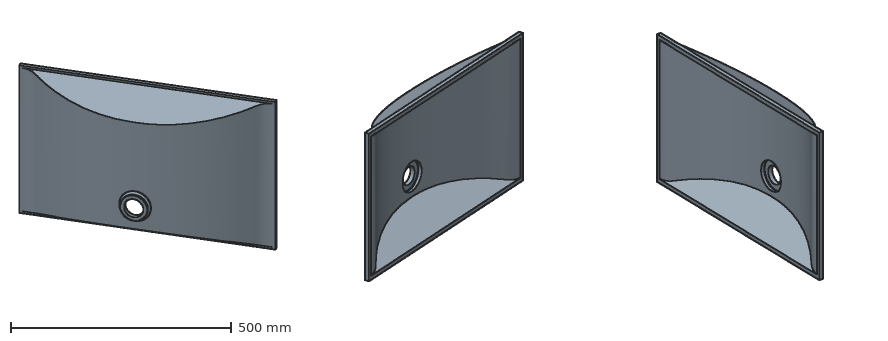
import cadquery as cq
import math

LENGTH = 610.0
HEIGHT = 377.5
TOTAL_DEPTH = 115.0
RIM_THICKNESS = 11.0
WALL = 10.0
BOWL_DEPTH = 105.0
SIDE_MARGIN = 9.0
RIM_LEDGE = 5.5
WALL_TAPER = 0.5
FLAT_WIDTH = 10.0
BOWL_RADIUS = 443.0

DRAIN_Z = -78.0
DRAIN_BORE = 46.0
DRAIN_FLANGE_DIAMETER = 75.5
DRAIN_FACE_DIAMETER = 64.5
DRAIN_INSERTION = 2.0
DRAIN_TUBE_DEPTH = 5.5

BACK_Y = TOTAL_DEPTH / 2
FRONT_Y = -TOTAL_DEPTH / 2
BOWL_FRONT_Y = BACK_Y - BOWL_DEPTH
RIM_FRONT_Y = BACK_Y - RIM_THICKNESS

END_X = LENGTH / 2 - SIDE_MARGIN
FLAT_HALF = FLAT_WIDTH / 2
BOWL_CENTER_Y = BOWL_FRONT_Y + BOWL_RADIUS
CENTER_RUN = END_X - FLAT_HALF
CENTER_DROP = BOWL_CENTER_Y - RIM_FRONT_Y
BLEND_RADIUS = (CENTER_RUN**2 + CENTER_DROP**2 - BOWL_RADIUS**2) / (2 * (BOWL_RADIUS - CENTER_DROP))
BLEND_CENTER_Y = RIM_FRONT_Y - BLEND_RADIUS
ARC_ANGLE = math.atan2(CENTER_RUN, BOWL_CENTER_Y - BLEND_CENTER_Y)


def bowl_arc_point(radius, angle):
    return (FLAT_HALF + radius * math.sin(angle), BOWL_CENTER_Y - radius * math.cos(angle))


def blend_arc_point(radius, angle):
    return (END_X - radius * math.sin(angle), BLEND_CENTER_Y + radius * math.cos(angle))


def mirrored(point):
    return (-point[0], point[1])


def bowl_volume(inset):
    """Bowl body bounded by its outer faces moved inward by inset, open to the back plane."""
    bowl_radius = BOWL_RADIUS - inset
    blend_radius = BLEND_RADIUS + inset
    flat_end = bowl_arc_point(bowl_radius, 0)
    bowl_mid = bowl_arc_point(bowl_radius, ARC_ANGLE / 2)
    junction = bowl_arc_point(bowl_radius, ARC_ANGLE)
    blend_mid = blend_arc_point(blend_radius, ARC_ANGLE / 2)
    end = blend_arc_point(blend_radius, 0)
    curved = (
        cq.Workplane("XY")
        .moveTo(-END_X, BACK_Y)
        .lineTo(*mirrored(end))
        .threePointArc(mirrored(blend_mid), mirrored(junction))
        .threePointArc(mirrored(bowl_mid), mirrored(flat_end))
        .lineTo(*flat_end)
        .threePointArc(bowl_mid, junction)
        .threePointArc(blend_mid, end)
        .lineTo(END_X, BACK_Y)
        .close()
        .extrude(HEIGHT / 2, both=True)
    )
    wall_inset = inset * math.hypot(1, WALL_TAPER)
    half_at_rim = HEIGHT / 2 - RIM_LEDGE - wall_inset
    half_at_back = half_at_rim + WALL_TAPER * RIM_THICKNESS
    half_at_front = half_at_rim - WALL_TAPER * (BOWL_DEPTH - RIM_THICKNESS)
    tapered = (
        cq.Workplane("YZ")
        .polyline([
            (BACK_Y, -half_at_back),
            (BACK_Y, half_at_back),
            (BOWL_FRONT_Y, half_at_front),
            (BOWL_FRONT_Y, -half_at_front),
        ])
        .close()
        .extrude(LENGTH / 2, both=True)
    )
    return curved.intersect(tapered)


def make_drain():
    """Drain revolved about its axis; its flange is set into the bowl wall."""
    flange_radius = DRAIN_FLANGE_DIAMETER / 2
    face_radius = DRAIN_FACE_DIAMETER / 2
    bore_radius = DRAIN_BORE / 2
    inner_y = BOWL_FRONT_Y + DRAIN_INSERTION
    return (
        cq.Workplane("XY")
        .polyline([
            (bore_radius, inner_y),
            (flange_radius, inner_y),
            (flange_radius, BOWL_FRONT_Y),
            (face_radius, FRONT_Y + DRAIN_TUBE_DEPTH),
            (face_radius, FRONT_Y),
            (bore_radius, FRONT_Y),
        ])
        .close()
        .revolve(360, (0, 0), (0, 1))
        .translate((0, 0, DRAIN_Z))
    )


def make_basin():
    rim = cq.Workplane("XY").box(LENGTH, RIM_THICKNESS, HEIGHT).translate(
        (0, BACK_Y - RIM_THICKNESS / 2, 0))
    seat = (
        cq.Workplane("XZ", origin=(0, BACK_Y, DRAIN_Z))
        .circle(DRAIN_FLANGE_DIAMETER / 2)
        .extrude(TOTAL_DEPTH)
    )
    return rim.union(bowl_volume(0)).cut(bowl_volume(WALL)).cut(seat)


basin = make_basin()
drain = make_drain()
result = cq.Compound.makeCompound([basin.val(), drain.val()])